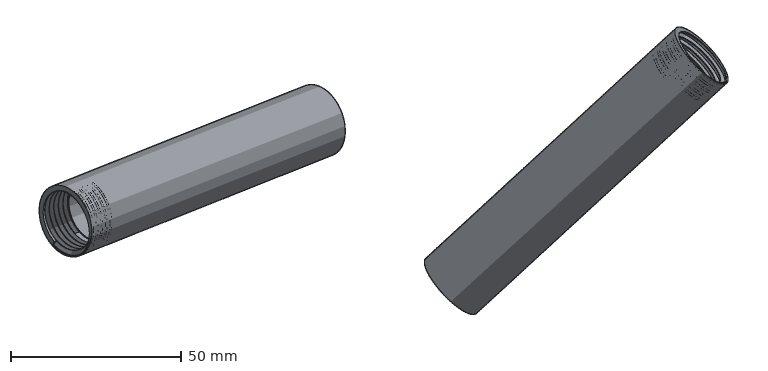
import cadquery as cq

tube_length = 105.0
outer_diameter = 22.0
bore_diameter = 18.0

mouth_diameter = 18.6
thread_pitch = 1.9
thread_turns = 5
groove_depth = 1.4
groove_width = 1.8
root_width = 0.7
crest_overlap = 0.1
start_angle = 120.0

mouth_radius = mouth_diameter / 2
thread_length = thread_pitch * thread_turns
mouth_depth = thread_length + groove_width / 2


def cylinder(diameter, length):
    """Cylinder along +Z from the origin."""
    return cq.Workplane("XY").circle(diameter / 2).extrude(length)


def thread_groove():
    """Left-handed groove with a flat root that winds up from the open end of the tube."""
    inner_radius = mouth_radius - crest_overlap
    root_radius = mouth_radius + groove_depth
    helix = cq.Wire.makeHelix(thread_pitch, thread_length, inner_radius, lefthand=True)
    profile = cq.Workplane("XZ").polyline([
        (inner_radius, -groove_width / 2),
        (root_radius, -root_width / 2),
        (root_radius, root_width / 2),
        (inner_radius, groove_width / 2),
    ]).close()
    return profile.sweep(cq.Workplane(obj=helix), isFrenet=True)


tube = cylinder(outer_diameter, tube_length).cut(cylinder(bore_diameter, tube_length))
tube = tube.cut(cylinder(mouth_diameter, mouth_depth))
tube = tube.cut(thread_groove())

tube = tube.rotate((0, 0, 0), (0, 0, 1), start_angle)
result = tube.rotate((0, 0, 0), (1, 0, 0), -90).translate((0, -tube_length / 2, 0))